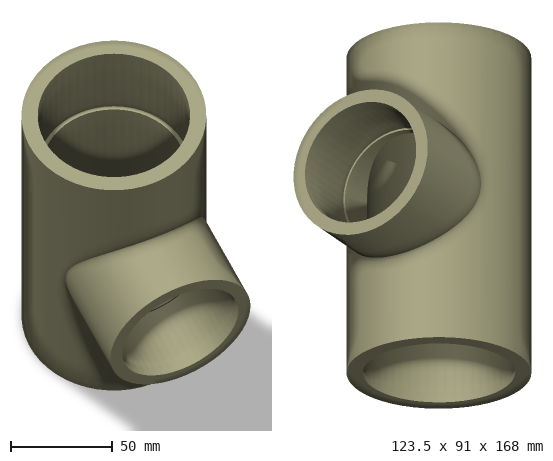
import cadquery as cq


run_length = 168.0
run_outer_diameter = 91.0
run_bore_diameter = 71.0
run_socket_diameter = 75.0
run_socket_depth = 44.0

branch_reach = 78.0
branch_outer_diameter = 76.0
branch_bore_diameter = 61.0
branch_socket_diameter = 63.0
branch_socket_depth = 38.0


def run_cylinder(diameter, bottom, height):
    """Cylinder on the run axis, rising from the given bottom level."""
    return cq.Workplane("XY").workplane(offset=bottom).circle(diameter / 2).extrude(height)


def branch_cylinder(diameter, start, length):
    """Cylinder on the branch axis, extending toward +X from the given start."""
    return cq.Workplane("YZ").workplane(offset=start).circle(diameter / 2).extrude(length)


def make_body():
    """Solid run and branch, joined."""
    run = run_cylinder(run_outer_diameter, -run_length / 2, run_length)
    branch = branch_cylinder(branch_outer_diameter, 0, branch_reach)
    return run.union(branch)


def cut_run(body):
    """Through bore with a pipe socket at each end of the run."""
    body = body.cut(run_cylinder(run_bore_diameter, -run_length / 2, run_length))
    for socket_bottom in (-run_length / 2, run_length / 2 - run_socket_depth):
        body = body.cut(run_cylinder(run_socket_diameter, socket_bottom, run_socket_depth))
    return body


def cut_branch(body):
    """Branch bore opening into the run, with a pipe socket at the open end."""
    body = body.cut(branch_cylinder(branch_bore_diameter, 0, branch_reach))
    socket_start = branch_reach - branch_socket_depth
    return body.cut(branch_cylinder(branch_socket_diameter, socket_start, branch_socket_depth))


result = cut_branch(cut_run(make_body()))